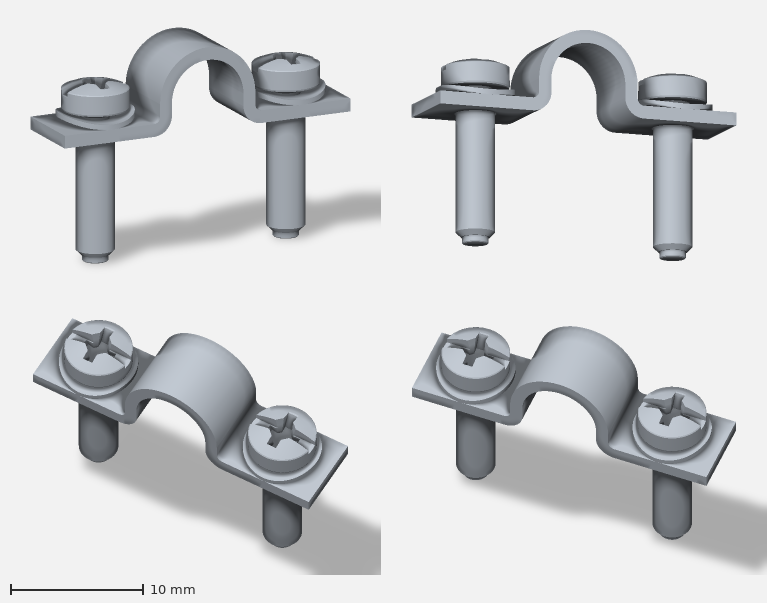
import cadquery as cq
import math


strap_width = 6.0
strap_length = 24.0
strap_thickness = 1.0
arch_inner_radius = 3.0
arch_outer_radius = arch_inner_radius + strap_thickness
arch_center_z = 2.5
bend_inner_radius = 0.5
bend_outer_radius = bend_inner_radius + strap_thickness
screw_spacing = 16.0
clearance_diameter = 3.2

washer_diameter = 6.0
washer_thickness = 0.4
washer_rise = 0.5
washer_bend_radius = ((washer_diameter / 2) ** 2 + washer_rise ** 2) / (2 * washer_rise)

shank_radius = 1.5
groove_radius = 1.1
neck_radius = 1.3
neck_bottom_z = 1.65
shoulder_z = 1.2
tip_radius = 1.0
tip_length = 0.5
tip_chamfer = 0.07
screw_end_z = -10.0

head_radius = 2.6
head_bottom_z = 1.95
head_bottom_chamfer_height = 0.13
head_bottom_chamfer_width = 0.05
head_rim_z = 3.53
head_rim_chamfer = 0.07
dome_edge_radius = head_radius - head_rim_chamfer
dome_edge_z = head_rim_z + head_rim_chamfer
head_top_z = 4.17
dome_rise = head_top_z - dome_edge_z
dome_radius = (dome_edge_radius ** 2 + dome_rise ** 2) / (2 * dome_rise)

slot_width = 0.95
slot_floor_z = 3.17
step_floor_z = 3.88
arm_width = 0.8
arm_bottom_half_length = 1.12
arm_bottom_z = 2.75
arm_taper = 0.48
cutter_overshoot = 0.1
recess_top_z = head_top_z + cutter_overshoot
center_bottom_half_width = 0.75
center_top_half_width = 0.98
recess_point_z = 2.3


def mid_arc(center_y, center_z, radius, degrees):
    """Point on a circle in the YZ plane."""
    angle = math.radians(degrees)
    return (center_y + radius * math.cos(angle), center_z + radius * math.sin(angle))


def make_strap():
    """Omega-shaped strap with a screw hole in each foot."""
    half_length = strap_length / 2
    bend_y = arch_outer_radius + bend_inner_radius
    bend_z = strap_thickness + bend_inner_radius
    outline = (
        cq.Workplane("YZ")
        .moveTo(-half_length, 0)
        .lineTo(-bend_y, 0)
        .threePointArc(mid_arc(-bend_y, bend_z, bend_outer_radius, -45), (-arch_inner_radius, bend_z))
        .lineTo(-arch_inner_radius, arch_center_z)
        .threePointArc((0, arch_center_z + arch_inner_radius), (arch_inner_radius, arch_center_z))
        .lineTo(arch_inner_radius, bend_z)
        .threePointArc(mid_arc(bend_y, bend_z, bend_outer_radius, -135), (bend_y, 0))
        .lineTo(half_length, 0)
        .lineTo(half_length, strap_thickness)
        .lineTo(bend_y, strap_thickness)
        .threePointArc(mid_arc(bend_y, bend_z, bend_inner_radius, -135), (arch_outer_radius, bend_z))
        .lineTo(arch_outer_radius, arch_center_z)
        .threePointArc((0, arch_center_z + arch_outer_radius), (-arch_outer_radius, arch_center_z))
        .lineTo(-arch_outer_radius, bend_z)
        .threePointArc(mid_arc(-bend_y, bend_z, bend_inner_radius, -45), (-bend_y, strap_thickness))
        .lineTo(-half_length, strap_thickness)
        .close()
    )
    strap = outline.extrude(strap_width / 2, both=True)
    holes = (
        cq.Workplane("XY")
        .pushPoints([(0, y) for y in screw_positions])
        .circle(clearance_diameter / 2)
        .extrude(strap_thickness)
    )
    return strap.cut(holes)


def make_washer():
    """Round washer bent about an axis parallel to X, centered on the Z axis."""
    curved_sheet = (
        cq.Workplane("YZ")
        .center(0, strap_thickness + washer_bend_radius)
        .circle(washer_bend_radius)
        .circle(washer_bend_radius - washer_thickness)
        .extrude(washer_diameter, both=True)
    )
    blank = (
        cq.Workplane("XY")
        .workplane(offset=strap_thickness)
        .circle(washer_diameter / 2)
        .circle(clearance_diameter / 2)
        .extrude(washer_rise + washer_thickness)
    )
    return blank.intersect(curved_sheet)


def make_screw_blank():
    """Revolved screw without its drive."""
    tip_top_z = screw_end_z + tip_length
    cone_top_z = tip_top_z + shank_radius - groove_radius
    groove_top_z = neck_bottom_z - (neck_radius - groove_radius)
    dome_center_z = head_top_z - dome_radius
    dome_mid_radius = dome_edge_radius / 2
    dome_mid_z = dome_center_z + math.sqrt(dome_radius ** 2 - dome_mid_radius ** 2)
    return (
        cq.Workplane("XZ")
        .moveTo(0, screw_end_z)
        .lineTo(tip_radius - tip_chamfer, screw_end_z)
        .lineTo(tip_radius, screw_end_z + tip_chamfer)
        .lineTo(tip_radius, tip_top_z)
        .lineTo(groove_radius, tip_top_z)
        .lineTo(shank_radius, cone_top_z)
        .lineTo(shank_radius, shoulder_z)
        .lineTo(groove_radius, shoulder_z)
        .lineTo(groove_radius, groove_top_z)
        .lineTo(neck_radius, neck_bottom_z)
        .lineTo(neck_radius, head_bottom_z)
        .lineTo(head_radius - head_bottom_chamfer_width, head_bottom_z)
        .lineTo(head_radius, head_bottom_z + head_bottom_chamfer_height)
        .lineTo(head_radius, head_rim_z)
        .lineTo(dome_edge_radius, dome_edge_z)
        .threePointArc((dome_mid_radius, dome_mid_z), (0, head_top_z))
        .close()
        .revolve(360, (0, 0, 0), (0, 1, 0))
    )


def make_groove(plane, width, floor_z):
    """Straight groove cutter, running across the head normal to the given plane."""
    height = recess_top_z - floor_z
    return (
        cq.Workplane(plane)
        .center(0, floor_z + height / 2)
        .rect(width, height)
        .extrude(2 * head_radius, both=True)
    )


def make_recess_arm(plane, top_z):
    """Pair of opposite cross-recess arms, with end walls that lean outward."""
    top_half_length = arm_bottom_half_length + arm_taper * (top_z - arm_bottom_z)
    return (
        cq.Workplane(plane)
        .moveTo(-arm_bottom_half_length, arm_bottom_z)
        .lineTo(arm_bottom_half_length, arm_bottom_z)
        .lineTo(top_half_length, top_z)
        .lineTo(-top_half_length, top_z)
        .close()
        .extrude(arm_width / 2, both=True)
    )


def make_diagonal_frustum(bottom_z, bottom_half_width, top_z, top_half_width):
    """Square frustum whose sides face the diagonals between the recess arms."""
    return (
        cq.Workplane("XY")
        .workplane(offset=bottom_z)
        .rect(2 * bottom_half_width, 2 * bottom_half_width)
        .workplane(offset=top_z - bottom_z)
        .rect(2 * top_half_width, 2 * top_half_width)
        .loft()
        .rotate((0, 0, 0), (0, 0, 1), 45)
    )


def make_recess_center():
    """Tapered opening that cuts back the corners between the arms."""
    return make_diagonal_frustum(
        arm_bottom_z, center_bottom_half_width, recess_top_z, center_top_half_width
    )


def make_recess_floor():
    """Conical floor of the recess, kept within the outline of the cross."""
    cone = (
        cq.Workplane("XZ")
        .moveTo(0, recess_point_z)
        .lineTo(math.hypot(arm_bottom_half_length, arm_width / 2), arm_bottom_z)
        .lineTo(0, arm_bottom_z)
        .close()
        .revolve(360, (0, 0, 0), (0, 1, 0))
    )
    arm_length = 2 * arm_bottom_half_length
    outline = make_diagonal_frustum(
        recess_point_z, center_bottom_half_width, arm_bottom_z, center_bottom_half_width
    )
    base = cq.Workplane("XY").workplane(offset=recess_point_z)
    for size_x, size_y in [(arm_length, arm_width), (arm_width, arm_length)]:
        outline = outline.union(base.rect(size_x, size_y).extrude(arm_bottom_z - recess_point_z))
    return cone.intersect(outline)


def make_screw():
    """Pan-head screw with combined slot and cross drive, centered on the Z axis."""
    cutters = [
        make_groove("XZ", slot_width, slot_floor_z),
        make_groove("YZ", arm_width, step_floor_z),
        make_recess_arm("XZ", step_floor_z),
        make_recess_arm("YZ", slot_floor_z),
        make_recess_center(),
        make_recess_floor(),
    ]
    screw = make_screw_blank()
    for cutter in cutters:
        screw = screw.cut(cutter)
    return screw


screw_positions = [-screw_spacing / 2, screw_spacing / 2]

strap = make_strap()
bodies = strap.solids().vals()
for y in screw_positions:
    washer = make_washer().translate((0, y, 0))
    screw = make_screw().translate((0, y, 0))
    bodies += [*washer.solids().vals(), *screw.solids().vals()]

result = cq.Compound.makeCompound(bodies)